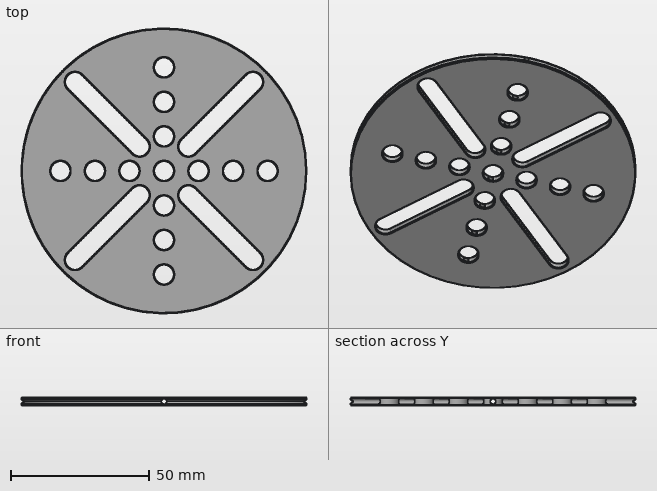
import cadquery as cq

disc_diameter = 103.1
disc_thickness = 3.1
disc_radius = disc_diameter / 2
half_thickness = disc_thickness / 2
edge_chamfer = 0.3

groove_depth = 1.0
groove_half_width = 0.8

hole_diameter = 7.0
hole_pitch = 12.5
holes_per_arm = 3

slot_inner_radius = hole_pitch
slot_center_spacing = 33
slot_directions = (45, 135, 225, 315)

cross_hole_diameter = 2.0


def make_disc():
    """Revolve the chamfered disc section, with its V-groove, about Z."""
    return (
        cq.Workplane("XZ")
        .moveTo(0, -half_thickness)
        .lineTo(disc_radius - edge_chamfer, -half_thickness)
        .lineTo(disc_radius, -half_thickness + edge_chamfer)
        .lineTo(disc_radius, -groove_half_width)
        .lineTo(disc_radius - groove_depth, 0)
        .lineTo(disc_radius, groove_half_width)
        .lineTo(disc_radius, half_thickness - edge_chamfer)
        .lineTo(disc_radius - edge_chamfer, half_thickness)
        .lineTo(0, half_thickness)
        .close()
        .revolve(360, (0, 0, 0), (0, 1, 0))
    )


def hole_positions():
    """Return the center and the evenly spaced points along both axes."""
    points = [(0, 0)]
    for step in range(1, holes_per_arm + 1):
        offset = step * hole_pitch
        points += [(offset, 0), (-offset, 0), (0, offset), (0, -offset)]
    return points


def cut_holes(body):
    """Cut the round holes straight through the disc."""
    return body.cut(
        cq.Workplane("XY", origin=(0, 0, -half_thickness))
        .pushPoints(hole_positions())
        .circle(hole_diameter / 2)
        .extrude(disc_thickness)
    )


def cut_slots(body):
    """Cut the four radial slots straight through the disc."""
    slot_middle_radius = slot_inner_radius + slot_center_spacing / 2
    slot_length = slot_center_spacing + hole_diameter
    for direction in slot_directions:
        slot = (
            cq.Workplane("XY", origin=(0, 0, -half_thickness))
            .center(slot_middle_radius, 0)
            .slot2D(slot_length, hole_diameter)
            .extrude(disc_thickness)
            .rotate((0, 0, 0), (0, 0, 1), direction)
        )
        body = body.cut(slot)
    return body


def chamfer_openings(body):
    """Chamfer the rims of all holes and slots on both faces."""
    rims = []
    for face in body.faces("|Z").vals():
        for wire in face.innerWires():
            rims += wire.Edges()
    return body.newObject(rims).chamfer(edge_chamfer)


def drill_cross_holes(body):
    """Drill one hole right through the disc along X and one along Y."""
    drill = (
        cq.Workplane("XY", origin=(0, 0, -disc_radius))
        .circle(cross_hole_diameter / 2)
        .extrude(disc_diameter)
        .rotate((0, 0, 0), (0, 1, 0), 90)
    )
    for direction in (0, 90):
        body = body.cut(drill.rotate((0, 0, 0), (0, 0, 1), direction))
    return body


plate = make_disc()
plate = cut_holes(plate)
plate = cut_slots(plate)
plate = chamfer_openings(plate)
result = drill_cross_holes(plate)